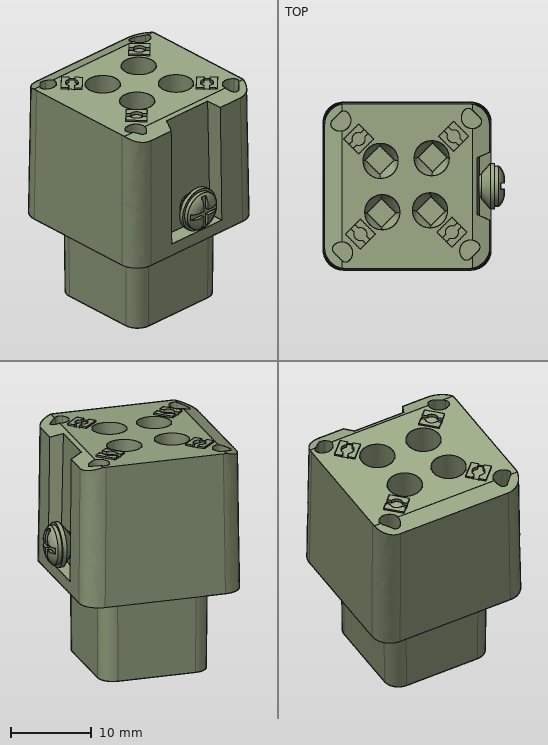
import cadquery as cq
import math

total_height = 29.8
shoulder_z = 11.2
plate_height = 0.2
top_z = total_height - plate_height

housing_width = 20.8
housing_inset = 0.2
housing_corner_radius = 2.55
plug_width = 14.07
plug_flare = 0.1
plug_corner_radius = 2.0

slope_start = 8.08
slope_run = 2.24
slope_drop = 0.77

contact_centers = [(-3.28, 3.13), (3.05, 3.45), (-3.07, -3.22), (2.83, -2.98)]
contact_hole_radius = 2.18
contact_bore_depth = 5.95
contact_taper_depth = 1.8
contact_floor_side = 2.53
contact_floor_shift = 0.15
plate_offset = 2.7
plate_side = 2.62
symbol_groove_width = 0.72
symbol_radius = 0.8
symbol_sink = 0.2
socket_offset = 5.0
socket_radius = 1.35
socket_flat_distance = 0.7
socket_edge_radius = 0.65
socket_depth = 5.95

recess_mouth_width = 8.58
recess_floor_width = 7.0
recess_floor_top_x = 8.65
recess_floor_bottom_x = 8.95
recess_outer_z = 12.8
recess_ledge_rise = 0.55
recess_overrun = 0.3

screw_z = 16.2
neck_radius = 1.43
cone_start_x = 9.18
cone_start_radius = 1.55
washer_radius = 2.83
washer_start_x = 10.28
washer_end_x = 10.82
head_radius = 2.5
head_shoulder_x = 11.32
dome_mid_x = 11.77
dome_mid_radius = 1.97
head_end_x = 12.05
head_tip_radius = 1.07
slot_width = 0.75
slot_floor_x = 11.6


def drafted_block(bottom_width, top_width, bottom_z, height, corner_radius):
    """Square block with drafted walls and rounded upright edges."""
    block = (
        cq.Workplane("XY", origin=(0, 0, bottom_z))
        .rect(bottom_width, bottom_width)
        .workplane(offset=height)
        .rect(top_width, top_width)
        .loft(ruled=True)
    )
    return block.edges("not #Z").fillet(corner_radius)


def housing():
    """Upper block with the tops of its X sides sloping down and outwards."""
    block = drafted_block(housing_width, housing_width - 2 * housing_inset, shoulder_z,
                          top_z - shoulder_z, housing_corner_radius)
    slope = (
        cq.Workplane("XZ")
        .moveTo(slope_start, top_z)
        .lineTo(slope_start + 2 * slope_run, top_z - 2 * slope_drop)
        .lineTo(slope_start + 2 * slope_run, top_z)
        .close()
        .extrude(housing_width / 2, both=True)
    )
    return block.cut(slope).cut(slope.mirror("YZ"))


def recess():
    """Trapezoidal notch in the +X wall, open at the top, with a sloped ledge."""
    mouth_x = housing_width / 2
    flare = (recess_mouth_width - recess_floor_width) / 2 / (mouth_x - recess_floor_top_x)
    outer_x = mouth_x + recess_overrun
    outer_width = recess_mouth_width + 2 * flare * recess_overrun
    notch = (
        cq.Workplane("XY", origin=(0, 0, shoulder_z))
        .polyline([
            (recess_floor_top_x, -recess_floor_width / 2),
            (outer_x, -outer_width / 2),
            (outer_x, outer_width / 2),
            (recess_floor_top_x, recess_floor_width / 2),
        ])
        .close()
        .extrude(total_height - shoulder_z)
    )
    ledge_slope = recess_ledge_rise / (mouth_x - recess_floor_bottom_x)
    side_profile = (
        cq.Workplane("XZ")
        .polyline([
            (recess_floor_top_x, total_height),
            (recess_floor_bottom_x, recess_outer_z + recess_ledge_rise),
            (outer_x, recess_outer_z - ledge_slope * recess_overrun),
            (outer_x, total_height),
        ])
        .close()
        .extrude(housing_width / 2, both=True)
    )
    return notch.intersect(side_profile)


def screw():
    """Countersunk neck, washer and domed head, with crossed slots."""
    body = (
        cq.Workplane("XY")
        .moveTo(recess_floor_top_x, 0)
        .lineTo(recess_floor_top_x, neck_radius)
        .lineTo(cone_start_x, neck_radius)
        .lineTo(cone_start_x, cone_start_radius)
        .lineTo(washer_start_x, washer_radius)
        .lineTo(washer_end_x, washer_radius)
        .lineTo(washer_end_x, head_radius)
        .lineTo(head_shoulder_x, head_radius)
        .threePointArc((dome_mid_x, dome_mid_radius), (head_end_x, head_tip_radius))
        .lineTo(head_end_x, 0)
        .close()
        .revolve(360, (0, 0, 0), (1, 0, 0))
    )
    slots = (
        cq.Workplane("YZ", origin=(slot_floor_x, 0, 0))
        .rect(2 * head_radius, slot_width)
        .extrude(head_end_x - slot_floor_x)
    )
    slots = slots.union(slots.rotate((0, 0, 0), (1, 0, 0), 90))
    return body.cut(slots).translate((0, 0, screw_z))


def contact_hole():
    """Round mouth narrowing to a square floor that sits slightly outwards."""
    corner = contact_hole_radius / math.sqrt(2)
    half_floor = contact_floor_side / 2
    bore = cq.Workplane("XY").circle(contact_hole_radius).extrude(-contact_bore_depth)
    taper = (
        cq.Workplane("XY", origin=(0, 0, -contact_bore_depth))
        .moveTo(corner, corner)
        .threePointArc((0, contact_hole_radius), (-corner, corner))
        .threePointArc((-contact_hole_radius, 0), (-corner, -corner))
        .threePointArc((0, -contact_hole_radius), (corner, -corner))
        .threePointArc((contact_hole_radius, 0), (corner, corner))
        .close()
        .workplane(offset=-contact_taper_depth)
        .center(contact_floor_shift, 0)
        .moveTo(half_floor, half_floor)
        .lineTo(-half_floor, half_floor)
        .lineTo(-half_floor, -half_floor)
        .lineTo(half_floor, -half_floor)
        .close()
        .loft(ruled=True)
    )
    return bore.union(taper)


def corner_socket():
    """Round blind hole with a flat on its outer side."""
    disc = cq.Workplane("XY").circle(socket_radius).extrude(-socket_depth)
    flat_side = cq.Workplane("XY").box(
        socket_radius, 2 * socket_radius, 2 * socket_depth
    ).translate((socket_flat_distance + socket_radius / 2, 0, 0))
    socket = disc.cut(flat_side).edges("|Z and >X").fillet(socket_edge_radius)
    return socket.translate((socket_offset * math.sqrt(2), 0, 0))


def marker_plate():
    """Raised square plate beside a contact hole."""
    plate = cq.Workplane("XY").rect(plate_side, plate_side).extrude(plate_height)
    return plate.translate((plate_offset * math.sqrt(2), 0, 0))


def marker_symbol():
    """Groove across a marker plate, widened to a round dimple at its middle."""
    symbol_depth = plate_height + symbol_sink
    base = cq.Workplane("XY", origin=(plate_offset * math.sqrt(2), 0, -symbol_sink))
    groove = base.rect(symbol_groove_width, plate_side).extrude(symbol_depth)
    dimple = base.circle(symbol_radius).extrude(symbol_depth)
    return groove.union(dimple)


def place(feature, center):
    """Turn a feature to face its corner and move it to its contact centre."""
    x, y = center
    diagonal = math.degrees(math.atan2(math.copysign(1, y), math.copysign(1, x)))
    return feature.rotate((0, 0, 0), (0, 0, 1), diagonal).translate((x, y, top_z))


plug = drafted_block(plug_width, plug_width + 2 * plug_flare, 0, shoulder_z, plug_corner_radius)
result = housing().union(plug).cut(recess()).union(screw())

for contact_center in contact_centers:
    result = result.union(place(marker_plate(), contact_center))
    for cutter in (marker_symbol(), contact_hole(), corner_socket()):
        result = result.cut(place(cutter, contact_center))